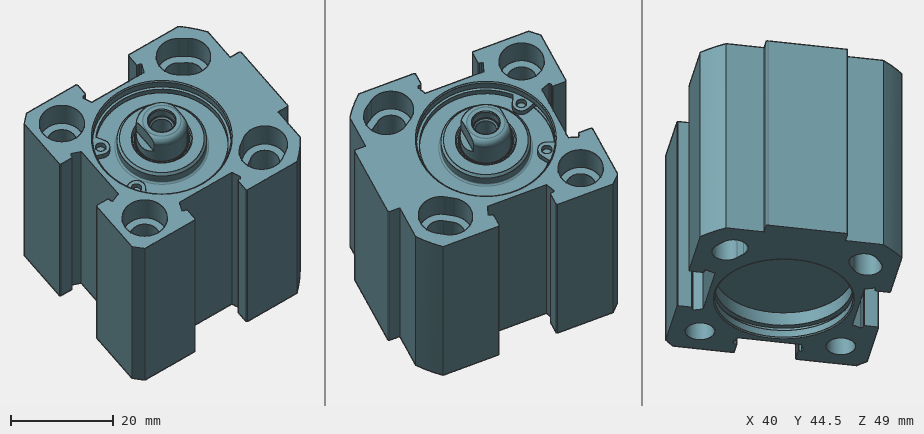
import cadquery as cq
import math

SQUARE_HALF = 20.0
BODY_HEIGHT = 43.5
TOTAL_HEIGHT = 49.0

BACK_FACE = 22.05
PAD_FACE = 24.5
PAD_HALF_WIDTH = 8.1
PAD_CORNER_RADIUS = 0.3
CORNER_ARC_RADIUS = 27.0
CORNER_CHAMFER = 1.8

SLOT_LIP_HALF_WIDTH = 6.1
SLOT_UNDERCUT_HALF_WIDTH = 7.0
SLOT_FLOOR_HALF_WIDTH = 6.25
SLOT_LIP_THICKNESS = 3.05
SLOT_DEPTH = 5.2
SLOT_LIP_CHAMFER = 0.2
SLOT_UNDERCUT_BEVEL = 0.3

BOLT_OFFSET = 13.95
BOLT_HOLE_DIAMETER = 5.8
BOLT_HEAD_DIAMETER = 8.8
BOLT_HEAD_DEPTH = 6.0
OBLONG_SHIFT_X = 1.05
OBLONG_SHIFT_Y = 1.45

RECESS_DIAMETER = 27.0
RECESS_CHAMFER = 0.25
RECESS_DEPTH = 6.0
GROOVE_DIAMETER = 29.0
GROOVE_START = 1.8
GROOVE_WIDTH = 1.22

COVER_DIAMETER = 26.9
BOSS_DIAMETER = 17.5
BOSS_CHAMFER = 0.5
BOSS_FILLET = 0.4
BOSS_DROP = 0.35
SEAL_LAND_DIAMETER = 11.4
SEAL_MOUTH_CHAMFER = 0.25
SEAL_LIP_DIAMETER = 10.5
SEAL_LIP_CHAMFER = 0.2
SEAL_FLOOR_DEPTH = 0.75

RING_INNER_RADIUS = 12.95
EAR_CENTRE_RADIUS = 11.95
EAR_RADIUS = 1.79
EAR_ANGLE = 30.3
EAR_ROOT_ANGLE = 41.5
EAR_HOLE_DIAMETER = 2.0

ROD_DIAMETER = 10.0
ROD_FILLET = 1.25
FLATS_WIDTH = 8.0
FLATS_LENGTH = 3.55
SOCKET_DIAMETER = 5.25
SOCKET_CHAMFER = 0.2
SOCKET_DEPTH = 2.0
COUNTERSINK_DIAMETER = 4.8
DRILL_DIAMETER = 4.1
DRILL_DEPTH = 7.35
DRILL_POINT_ANGLE = 118.0

RECESS_FLOOR = BODY_HEIGHT - RECESS_DEPTH
RING_TOP = BODY_HEIGHT - GROOVE_START
RING_BOTTOM = RING_TOP - GROOVE_WIDTH
BOSS_TOP = BODY_HEIGHT - BOSS_DROP


def cylinder(diameter, bottom, top):
    return cq.Workplane("XY").workplane(offset=bottom).circle(diameter / 2).extrude(top - bottom)


def cone(bottom_diameter, top_diameter, bottom, top):
    solid = cq.Solid.makeCone(
        bottom_diameter / 2, top_diameter / 2, top - bottom, pnt=cq.Vector(0, 0, bottom)
    )
    return cq.Workplane(solid)


def housing_block():
    """Prism with a rounded pair of back corners, chamfered front corners and a raised back pad."""
    arc_side_y = math.sqrt(CORNER_ARC_RADIUS**2 - SQUARE_HALF**2)
    arc_back_x = math.sqrt(CORNER_ARC_RADIUS**2 - BACK_FACE**2)
    arc_middle = (math.atan2(arc_side_y, SQUARE_HALF) + math.atan2(BACK_FACE, arc_back_x)) / 2
    arc_middle_x = CORNER_ARC_RADIUS * math.cos(arc_middle)
    arc_middle_y = CORNER_ARC_RADIUS * math.sin(arc_middle)
    block = (
        cq.Workplane("XY")
        .moveTo(SQUARE_HALF, -SQUARE_HALF)
        .lineTo(SQUARE_HALF, arc_side_y)
        .threePointArc((arc_middle_x, arc_middle_y), (arc_back_x, BACK_FACE))
        .lineTo(-arc_back_x, BACK_FACE)
        .threePointArc((-arc_middle_x, arc_middle_y), (-SQUARE_HALF, arc_side_y))
        .lineTo(-SQUARE_HALF, -SQUARE_HALF)
        .close()
        .extrude(BODY_HEIGHT)
        .edges("|Z and <Y")
        .chamfer(CORNER_CHAMFER)
    )
    pad = (
        cq.Workplane("XY")
        .center(0, PAD_FACE / 2)
        .rect(2 * PAD_HALF_WIDTH, PAD_FACE)
        .extrude(BODY_HEIGHT)
        .edges("|Z and >Y")
        .fillet(PAD_CORNER_RADIUS)
    )
    return block.union(pad)


def side_slot(turn):
    """Undercut slot in the -Y side, turned about Z by the given angle."""
    lip_inside = -SQUARE_HALF + SLOT_LIP_THICKNESS
    floor = -SQUARE_HALF + SLOT_DEPTH
    right_side = [
        (SLOT_LIP_HALF_WIDTH + SLOT_LIP_CHAMFER, -SQUARE_HALF),
        (SLOT_LIP_HALF_WIDTH, -SQUARE_HALF + SLOT_LIP_CHAMFER),
        (SLOT_LIP_HALF_WIDTH, lip_inside - SLOT_LIP_CHAMFER),
        (SLOT_LIP_HALF_WIDTH + SLOT_LIP_CHAMFER, lip_inside),
        (SLOT_UNDERCUT_HALF_WIDTH - SLOT_UNDERCUT_BEVEL, lip_inside),
        (SLOT_UNDERCUT_HALF_WIDTH, lip_inside + SLOT_UNDERCUT_BEVEL),
        (SLOT_FLOOR_HALF_WIDTH, floor),
    ]
    left_side = [(-x, y) for x, y in reversed(right_side)]
    slot = cq.Workplane("XY").polyline(right_side + left_side).close().extrude(BODY_HEIGHT)
    return slot.rotate((0, 0, 0), (0, 0, 1), turn)


def round_bolt_hole(side, diameter, bottom):
    return cylinder(diameter, bottom, BODY_HEIGHT).translate((side * BOLT_OFFSET, -BOLT_OFFSET, 0))


def oblong_bolt_hole(side, diameter, bottom):
    """Hole stretched from the bolt position toward the back and the middle of the housing."""
    length = math.hypot(OBLONG_SHIFT_X, OBLONG_SHIFT_Y)
    angle = math.degrees(math.atan2(OBLONG_SHIFT_Y, -side * OBLONG_SHIFT_X))
    middle_x = side * (BOLT_OFFSET - OBLONG_SHIFT_X / 2)
    middle_y = BOLT_OFFSET + OBLONG_SHIFT_Y / 2
    return (
        cq.Workplane("XY")
        .workplane(offset=bottom)
        .center(middle_x, middle_y)
        .slot2D(length + diameter, diameter, angle)
        .extrude(BODY_HEIGHT - bottom)
    )


def end_recess():
    """Stepped recess in the top end: chamfered mouth, bore and ring groove."""
    mouth = cone(
        RECESS_DIAMETER, RECESS_DIAMETER + 2 * RECESS_CHAMFER, BODY_HEIGHT - RECESS_CHAMFER, BODY_HEIGHT
    )
    bore = cylinder(RECESS_DIAMETER, RECESS_FLOOR, BODY_HEIGHT)
    groove = cylinder(GROOVE_DIAMETER, RING_BOTTOM, RING_TOP)
    return bore.union(mouth).union(groove)


def make_housing():
    housing = housing_block()
    for turn in (0, 90, -90):
        housing = housing.cut(side_slot(turn))
    for side in (-1, 1):
        for hole in (round_bolt_hole, oblong_bolt_hole):
            housing = housing.cut(hole(side, BOLT_HOLE_DIAMETER, 0))
            housing = housing.cut(hole(side, BOLT_HEAD_DIAMETER, BODY_HEIGHT - BOLT_HEAD_DEPTH))
    top_recess = end_recess()
    bottom_recess = top_recess.mirror("XY", (0, 0, BODY_HEIGHT / 2))
    return housing.cut(top_recess).cut(bottom_recess)


def make_cover():
    """Turned plate with a central boss, bored for the rod and stepped for its seal lip."""
    boss_radius = BOSS_DIAMETER / 2
    fillet_middle = BOSS_FILLET * (1 - math.sqrt(0.5))
    body = (
        cq.Workplane("XZ")
        .moveTo(0, RECESS_FLOOR)
        .lineTo(COVER_DIAMETER / 2, RECESS_FLOOR)
        .lineTo(COVER_DIAMETER / 2, RING_BOTTOM)
        .lineTo(boss_radius + BOSS_FILLET, RING_BOTTOM)
        .threePointArc(
            (boss_radius + fillet_middle, RING_BOTTOM + fillet_middle),
            (boss_radius, RING_BOTTOM + BOSS_FILLET),
        )
        .lineTo(boss_radius, BOSS_TOP - BOSS_CHAMFER)
        .lineTo(boss_radius - BOSS_CHAMFER, BOSS_TOP)
        .lineTo(0, BOSS_TOP)
        .close()
        .revolve(360, (0, 0, 0), (0, 1, 0))
    )
    land = BOSS_TOP - SEAL_MOUTH_CHAMFER
    mouth = cone(SEAL_LAND_DIAMETER, SEAL_LAND_DIAMETER + 2 * SEAL_MOUTH_CHAMFER, land, BOSS_TOP)
    lip_lead = cone(
        SEAL_LIP_DIAMETER, SEAL_LIP_DIAMETER + 2 * SEAL_LIP_CHAMFER, land - SEAL_LIP_CHAMFER, land
    )
    lip = cylinder(SEAL_LIP_DIAMETER, BOSS_TOP - SEAL_FLOOR_DEPTH, BOSS_TOP)
    rod_bore = cylinder(ROD_DIAMETER, RECESS_FLOOR, BOSS_TOP)
    for cut in (mouth, lip_lead, lip, rod_bore):
        body = body.cut(cut)
    return body


def polar(radius, angle):
    """Point at a radius and at an angle in degrees from -Y toward +X."""
    return (radius * math.sin(math.radians(angle)), -radius * math.cos(math.radians(angle)))


def ring_ear():
    """Ear at the +X end of the ring: a disc joined to the ring by two lines tangent to it."""
    half_gap = EAR_ANGLE - math.degrees(math.asin(EAR_RADIUS / EAR_CENTRE_RADIUS))
    gap_touch_radius = math.sqrt(EAR_CENTRE_RADIUS**2 - EAR_RADIUS**2)
    centre_x, centre_y = polar(EAR_CENTRE_RADIUS, EAR_ANGLE)
    root_x, root_y = polar(RING_INNER_RADIUS, EAR_ROOT_ANGLE)
    root_distance = math.hypot(root_x - centre_x, root_y - centre_y)
    touch_direction = math.atan2(root_y - centre_y, root_x - centre_x) + math.acos(EAR_RADIUS / root_distance)
    root_touch = (
        centre_x + EAR_RADIUS * math.cos(touch_direction),
        centre_y + EAR_RADIUS * math.sin(touch_direction),
    )
    web_outline = [
        (centre_x, centre_y),
        polar(gap_touch_radius, half_gap),
        polar(GROOVE_DIAMETER / 2, half_gap),
        polar(GROOVE_DIAMETER / 2, EAR_ROOT_ANGLE),
        (root_x, root_y),
        root_touch,
    ]
    plane = cq.Workplane("XY").workplane(offset=RING_BOTTOM)
    web = plane.polyline(web_outline).close().extrude(GROOVE_WIDTH)
    disc = plane.center(centre_x, centre_y).circle(EAR_RADIUS).extrude(GROOVE_WIDTH)
    hole = plane.center(centre_x, centre_y).circle(EAR_HOLE_DIAMETER / 2).extrude(GROOVE_WIDTH)
    return web.union(disc), hole


def make_ring():
    band = cylinder(GROOVE_DIAMETER, RING_BOTTOM, RING_TOP).cut(
        cylinder(2 * RING_INNER_RADIUS, RING_BOTTOM, RING_TOP)
    )
    opening = (
        cq.Workplane("XY")
        .workplane(offset=RING_BOTTOM)
        .polyline([(0, 0), polar(2 * GROOVE_DIAMETER, -EAR_ANGLE), polar(2 * GROOVE_DIAMETER, EAR_ANGLE)])
        .close()
        .extrude(GROOVE_WIDTH)
    )
    ring = band.cut(opening)
    ear, hole = ring_ear()
    ring = ring.union(ear).union(ear.mirror("YZ"))
    return ring.cut(hole).cut(hole.mirror("YZ"))


def rod_flat():
    """Cut for the flat on the +Y side, ending in a 45 degree run-out."""
    flat = FLATS_WIDTH / 2
    beyond = ROD_DIAMETER
    flat_end = TOTAL_HEIGHT - FLATS_LENGTH
    return (
        cq.Workplane("YZ")
        .polyline(
            [
                (flat, TOTAL_HEIGHT),
                (flat, flat_end),
                (beyond, flat_end - (beyond - flat)),
                (beyond, TOTAL_HEIGHT),
            ]
        )
        .close()
        .extrude(ROD_DIAMETER, both=True)
    )


def make_rod():
    """Rod with a rounded end, two wrench flats and a stepped drilled socket."""
    rod = cylinder(ROD_DIAMETER, RECESS_FLOOR, TOTAL_HEIGHT).faces(">Z").edges().fillet(ROD_FILLET)
    rod = rod.cut(rod_flat()).cut(rod_flat().mirror("XZ"))
    mouth = cone(
        SOCKET_DIAMETER, SOCKET_DIAMETER + 2 * SOCKET_CHAMFER, TOTAL_HEIGHT - SOCKET_CHAMFER, TOTAL_HEIGHT
    )
    socket_floor = TOTAL_HEIGHT - SOCKET_DEPTH
    socket = cylinder(SOCKET_DIAMETER, socket_floor, TOTAL_HEIGHT)
    countersink_depth = (COUNTERSINK_DIAMETER - DRILL_DIAMETER) / 2
    countersink = cone(DRILL_DIAMETER, COUNTERSINK_DIAMETER, socket_floor - countersink_depth, socket_floor)
    drill_floor = TOTAL_HEIGHT - DRILL_DEPTH
    drill = cylinder(DRILL_DIAMETER, drill_floor, TOTAL_HEIGHT)
    point_height = DRILL_DIAMETER / 2 / math.tan(math.radians(DRILL_POINT_ANGLE / 2))
    point = cone(0, DRILL_DIAMETER, drill_floor - point_height, drill_floor)
    for cut in (mouth, socket, countersink, drill, point):
        rod = rod.cut(cut)
    return rod


housing = make_housing()
cover = make_cover()
ring = make_ring()
rod = make_rod()
result = cq.Compound.makeCompound([housing.val(), cover.val(), ring.val(), rod.val()])